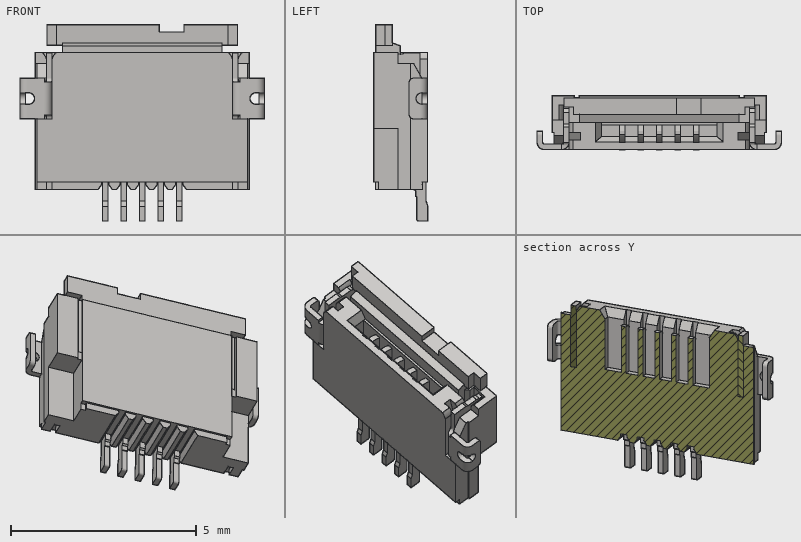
import cadquery as cq
import math

housing_half_width = 2.89
housing_depth = 1.46
housing_height = 3.7
front_step_depth = 0.457
front_half_width = 2.845

lip_height = 0.2
lip_front = 0.14
lip_back = 1.41
lip_back_shoulder = 1.33
lip_back_corner = 2.03

shoulder_back = 0.794
shoulder_height = 3.405
shoulder_slope_top = 0.38
rear_notch_height = 1.645
back_pad_half_width = 2.16
rear_groove_outside = 2.29
back_pad_front = 1.41

sheet = 0.155
plate_inside = 2.433
plate_outside = plate_inside + sheet
plate_front = 0.2
plate_back = 1.207
plate_top = 3.69
plate_dip_top = 3.65
plate_dip_back = 1.0
plate_dip_front = 0.69
plate_dip_ramp = 0.075
plate_rear_ramp_end = 1.11
plate_rear_top = 3.6
tab_bottom = 1.907
tab_top = 3.004
tab_outside = 3.3
tab_leg_depth = 0.5
tab_corner_radius = 0.12
bend_radius = 0.205
relief_radius = 0.1
tab_hole_radius = 0.15
tab_hole_reach = 0.39

flare_width = 0.11
flare_height = 0.18
flare_bend_width = 0.0385
notch_front = 0.255
notch_back = front_step_depth
notch_inside = 2.13
notch_height = 1.2

slider_front = 0.95
slider_back = 1.4
slider_top = 4.45
slider_half_width = 2.575
ear_front = 1.15
ear_inside = 2.314
ear_bottom = 3.89
slider_notch_left = 0.462
slider_notch_right = 1.122
slider_notch_depth = 0.2
tongue_half_width = 2.155
tongue_front = 0.735
tongue_bottom = tab_bottom
rib_half_width = 2.26
rib_front = 0.96
rib_chamfer = rib_half_width - tongue_half_width
tongue_bevel_top = 3.957
tongue_bevel_bottom = 3.878

mouth_half_width = 1.718
mouth_front = 0.2135
mouth_bevel_height = 0.24
cavity_half_width = 1.559
cavity_front = 0.3525
cavity_back = 0.67
cavity_floor = 2.0

contact_count = 5
contact_pitch = 0.5
contact_width = 0.155
contact_slot_front = 0.19
contact_top = 3.35
contact_rear_top = 3.3
contact_crest_back = 0.5
contact_crest_front = 0.41
contact_nose_middle = (0.27, 3.2)
contact_nose_bottom = 2.9
tail_bottom = -0.85
tail_front = -0.01
tail_upper_front = 0.04
tail_step_top = -0.313
tail_step_middle = -0.377
tail_step_bottom = -0.452
tail_back = 0.3
tail_upper_back = 0.325
tail_upper_back_bottom = -0.19
tail_root_back = 0.37
tail_root_drop = 0.04
tail_corner_radius = 0.06
lip_notch_neck = 0.095
lip_notch_mouth = 0.19
lip_notch_neck_bottom = 0.13

contact_places = [(i - (contact_count - 1) / 2) * contact_pitch for i in range(contact_count)]


def block(x_min, x_max, y_min, y_max, z_min, z_max):
    size = (x_max - x_min, y_max - y_min, z_max - z_min)
    return cq.Workplane("XY").box(*size, centered=False).translate((x_min, y_min, z_min))


def centred_block(half_width, y_min, y_max, z_min, z_max):
    return block(-half_width, half_width, y_min, y_max, z_min, z_max)


def side_profile(points, x_min, x_max):
    """Solid between two X positions, with its outline given as (Y, Z) points."""
    return cq.Workplane("YZ").polyline(points).close().extrude(x_max - x_min).translate((x_min, 0, 0))


def front_profile(points, y_min, y_max):
    """Solid between two Y positions, with its outline given as (X, Z) points."""
    return cq.Workplane("XZ").polyline(points).close().extrude(y_min - y_max).translate((0, y_min, 0))


def mirrored(shape):
    return shape.mirror("YZ")


def bend_relief(height):
    """Cutter that rounds off the end of the bend at the given height."""
    bend_end = plate_inside + bend_radius
    centre = plate_front - relief_radius
    corner = block(plate_inside, bend_end, 0, centre, height - relief_radius, height + relief_radius)
    curve = (
        cq.Workplane("YZ").center(centre, height)
        .circle(relief_radius).extrude(bend_radius).translate((plate_inside, 0, 0))
    )
    return corner.union(curve)


def make_hold_down():
    """Right-hand hold-down: a plate in the housing, bent outward into a J-shaped solder tab."""
    plate = side_profile(
        [
            (plate_front, tab_bottom),
            (plate_front, plate_top),
            (plate_dip_front - plate_dip_ramp, plate_top),
            (plate_dip_front, plate_dip_top),
            (plate_dip_back, plate_dip_top),
            (plate_rear_ramp_end, plate_rear_top),
            (plate_back, plate_rear_top),
            (plate_back, tab_bottom),
        ],
        plate_inside,
        plate_outside,
    )
    outer = block(plate_inside, tab_outside, 0, tab_leg_depth, tab_bottom, tab_top)
    outer = outer.edges("|Z and <Y").fillet(bend_radius)
    inner = block(plate_outside, tab_outside - sheet, sheet, tab_leg_depth, tab_bottom, tab_top)
    inner = inner.edges("|Z and <Y").fillet(bend_radius - sheet)
    tab = outer.cut(inner)
    tab = tab.faces(">Y").edges("|X").edges(">X").fillet(tab_corner_radius)

    hole_height = (tab_bottom + tab_top) / 2
    hole_depth = tab_hole_reach - tab_hole_radius
    flat_hole = (
        cq.Workplane("XZ").center(tab_outside - hole_depth, hole_height)
        .circle(tab_hole_radius).extrude(-bend_radius)
    )
    flat_slot = block(tab_outside - hole_depth, tab_outside, 0, bend_radius,
                      hole_height - tab_hole_radius, hole_height + tab_hole_radius)
    leg_hole_centre = hole_depth - sheet / 2
    leg_hole = (
        cq.Workplane("YZ").center(leg_hole_centre, hole_height)
        .circle(tab_hole_radius).extrude(bend_radius).translate((tab_outside - bend_radius, 0, 0))
    )
    leg_slot = block(tab_outside - bend_radius, tab_outside, 0, leg_hole_centre,
                     hole_height - tab_hole_radius, hole_height + tab_hole_radius)
    tab = tab.cut(flat_hole).cut(flat_slot).cut(leg_hole).cut(leg_slot)
    hold_down = plate.union(tab)
    for height in (tab_bottom, tab_top):
        hold_down = hold_down.cut(bend_relief(height))
    return hold_down


def make_slider():
    """Slider: a wide notched bar with thin ears, on a tongue that drops into the housing."""
    bar = centred_block(ear_inside, slider_front, slider_back, ear_bottom, slider_top)
    ears = centred_block(slider_half_width, ear_front, slider_back, ear_bottom, slider_top)
    tongue = side_profile(
        [
            (tongue_front, tongue_bottom),
            (tongue_front, tongue_bevel_bottom),
            (slider_front, tongue_bevel_top),
            (slider_back, tongue_bevel_top),
            (slider_back, tongue_bottom),
        ],
        -tongue_half_width,
        tongue_half_width,
    )
    notch = block(slider_notch_left, slider_notch_right, slider_front, slider_back,
                  slider_top - slider_notch_depth, slider_top)
    rib_outline = [
        (tongue_half_width - rib_chamfer, rib_front),
        (tongue_half_width, rib_front),
        (rib_half_width, rib_front + rib_chamfer),
        (rib_half_width, slider_back),
        (tongue_half_width - rib_chamfer, slider_back),
    ]
    rib = (
        cq.Workplane("XY").workplane(offset=tongue_bottom)
        .polyline(rib_outline).close().extrude(housing_height - tongue_bottom)
    )
    return bar.union(ears).union(tongue).union(rib).union(mirrored(rib)).cut(notch)


def hold_down_recess():
    """Space taken out of the right side of the housing for a hold-down."""
    slot = block(plate_inside, plate_outside, 0, plate_back, tab_bottom, housing_height)
    front = block(plate_inside, housing_half_width, 0, sheet, tab_bottom, housing_height)
    shoulder = side_profile(
        [
            (0, tab_top),
            (sheet, tab_top),
            (shoulder_slope_top, shoulder_height),
            (shoulder_back, shoulder_height),
            (shoulder_back, housing_height),
            (0, housing_height),
        ],
        plate_outside,
        housing_half_width,
    )
    return slot.union(front).union(shoulder)


def flare(x_slot, x_top, y_min, y_max):
    """Flared mouth whose wall curves from the slot wall out to x_top at the top face."""
    direction = math.copysign(1, x_top - x_slot)
    middle = (x_slot + direction * flare_bend_width, housing_height - flare_height / 2)
    return (
        cq.Workplane("XZ")
        .moveTo(x_slot, housing_height - flare_height)
        .threePointArc(middle, (x_top, housing_height))
        .lineTo(x_slot, housing_height)
        .close()
        .extrude(y_min - y_max)
        .translate((0, y_min, 0))
    )


def lip_notch(x):
    """Tapered notch in the bottom lip around one contact."""
    points = [
        (x - lip_notch_mouth, 0),
        (x - lip_notch_neck, lip_notch_neck_bottom),
        (x - lip_notch_neck, lip_height),
        (x + lip_notch_neck, lip_height),
        (x + lip_notch_neck, lip_notch_neck_bottom),
        (x + lip_notch_mouth, 0),
    ]
    return front_profile(points, 0, lip_back)


def contact(x):
    """Contact inside the cavity with its tail below the housing."""
    points = [
        (tail_upper_front, lip_height),
        (tail_upper_front, tail_step_top),
        ((tail_upper_front + tail_front) / 2, tail_step_middle),
        (tail_front, tail_step_bottom),
        (tail_front, tail_bottom),
        (tail_back, tail_bottom),
        (tail_back, tail_upper_back_bottom),
        (tail_upper_back, tail_upper_back_bottom),
        (tail_upper_back, -tail_root_drop),
        (tail_root_back, 0),
        (tail_root_back, lip_height),
    ]
    left = x - contact_width / 2
    right = x + contact_width / 2
    tail = side_profile(points, left, right)
    back_corner = cq.selectors.NearestToPointSelector((x, tail_back, tail_bottom))
    tail = tail.edges("|X").edges(back_corner).fillet(tail_corner_radius)
    beam = (
        cq.Workplane("YZ")
        .moveTo(contact_slot_front, cavity_floor)
        .lineTo(contact_slot_front, contact_nose_bottom)
        .threePointArc(contact_nose_middle, (contact_crest_front, contact_top))
        .lineTo(contact_crest_back, contact_top)
        .lineTo(cavity_back, contact_rear_top)
        .lineTo(cavity_back, cavity_floor)
        .close()
        .extrude(contact_width)
        .translate((left, 0, 0))
    )
    return tail.union(beam)


def make_housing(hold_down):
    body = centred_block(front_half_width, 0, front_step_depth, 0, housing_height)
    body = body.union(
        centred_block(housing_half_width, front_step_depth, housing_depth, 0, housing_height)
    )

    body = body.cut(centred_block(housing_half_width, 0, lip_front, 0, lip_height))
    body = body.cut(centred_block(housing_half_width, lip_back, housing_depth, 0, lip_height))

    body = body.cut(
        centred_block(rib_half_width, tongue_front, slider_back, tongue_bottom, housing_height)
    )
    body = body.cut(
        centred_block(plate_inside, tongue_front, plate_back, tongue_bottom, housing_height)
    )

    mouth_bottom = housing_height - mouth_bevel_height
    mouth = (
        cq.Workplane("XY").workplane(offset=mouth_bottom)
        .center(0, (cavity_front + tongue_front) / 2)
        .rect(2 * cavity_half_width, tongue_front - cavity_front)
        .workplane(offset=mouth_bevel_height)
        .center(0, (mouth_front - cavity_front) / 2)
        .rect(2 * mouth_half_width, tongue_front - mouth_front)
        .loft(ruled=True)
    )
    body = body.cut(mouth)
    body = body.cut(centred_block(cavity_half_width, cavity_front, cavity_back, cavity_floor, mouth_bottom))

    for x in contact_places:
        left = x - contact_width / 2
        right = x + contact_width / 2
        body = body.cut(block(left, right, contact_slot_front, cavity_front, cavity_floor, housing_height))
        body = body.cut(lip_notch(x))

    side_cuts = [
        hold_down_recess(),
        hold_down,
        block(back_pad_half_width, housing_half_width, shoulder_back, housing_depth, 0, rear_notch_height),
        block(back_pad_half_width, rear_groove_outside, back_pad_front, housing_depth, 0, housing_height),
        block(lip_back_corner, back_pad_half_width, lip_back_shoulder, housing_depth, 0, lip_height),
        flare(plate_outside, plate_outside + flare_width, shoulder_back, plate_back),
        flare(plate_inside, plate_inside - flare_width, 0, tongue_front),
        front_profile(
            [
                (plate_inside, housing_height - notch_height),
                (notch_inside, housing_height),
                (plate_inside, housing_height),
            ],
            notch_front,
            notch_back,
        ),
        block(plate_inside, plate_outside, lip_front, front_step_depth, 0, lip_height),
    ]
    for cut in side_cuts:
        body = body.cut(cut).cut(mirrored(cut))

    for x in contact_places:
        body = body.union(contact(x))
    return body


right_hold_down = make_hold_down()
left_hold_down = mirrored(right_hold_down)
slider = make_slider()
housing = make_housing(right_hold_down)

result = cq.Compound.makeCompound(
    [housing.val(), slider.val(), right_hold_down.val(), left_hold_down.val()]
)